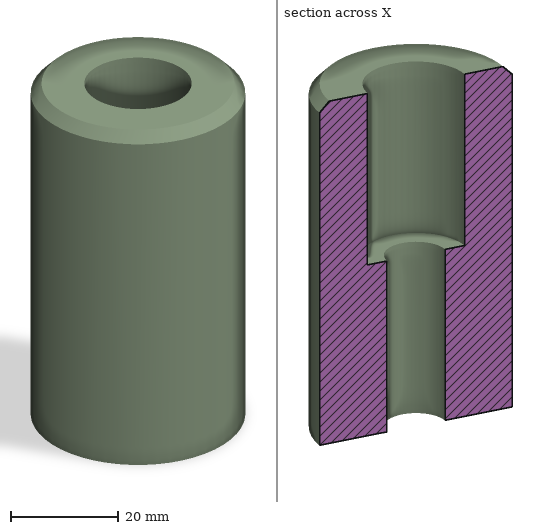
import cadquery as cq

height = 70.0
outer_diameter = 40.0
top_chamfer = 2.0
bore_diameter = outer_diameter / 2
through_hole_diameter = 12.0
bore_depth = height / 2

body = cq.Workplane("XY").circle(outer_diameter / 2).extrude(height)
body = body.faces(">Z").edges().chamfer(top_chamfer)

result = body.faces(">Z").workplane().cboreHole(through_hole_diameter, bore_diameter, bore_depth)